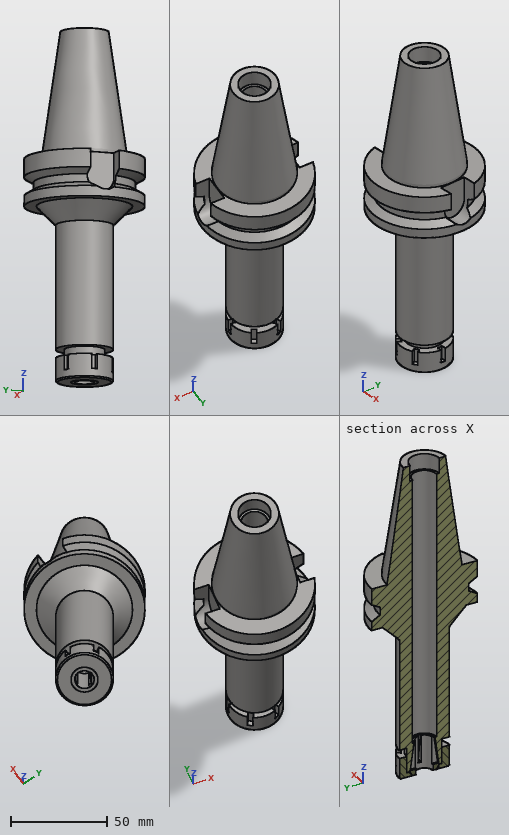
import cadquery as cq
import math

total_height = 185.4

taper_length = 65.5
gauge_diameter = 44.5
taper_tip_diameter = 25.4
gauge_z = total_height - taper_length

flange_diameter = 63.0
flange_top_drop = 1.9
flange_top_z = gauge_z - flange_top_drop
flange_thickness = 25.0
flange_bottom_z = flange_top_z - flange_thickness
groove_diameter = 53.2
groove_width = 10.0
groove_middle_drop = 16.5
groove_middle_z = gauge_z - groove_middle_drop
groove_flank_angle = 30.0

keyway_width = 16.0
keyway_floor_x = 22.5
keyway_depth = 23.0

body_diameter = 30.0
body_cone_height = 10.0
neck_diameter = 21.1

counterbore_diameter = 17.0
counterbore_depth = 9.0
bore_diameter = 14.0

nut_height = 12.6
neck_gap = 4.6
nut_chamfer_height = 0.7
nut_chamfer_width = 1.0
nut_slot_count = 6
nut_slot_width = 3.0
nut_slot_floor_z = 4.8
nut_slot_floor_radius = 12.2

collet_bore_diameter = 10.0
collet_back_diameter = 12.2
collet_shoulder_diameter = 17.0
collet_taper_angle = 8.0
collet_nose_angle = 30.0
collet_shoulder_z = 2.6
slit_count = 4
slit_width = 1.9
slit_floor_z = 3.7

body_bottom_z = nut_height + neck_gap
shoulder_radius = collet_shoulder_diameter / 2
back_radius = collet_back_diameter / 2
nose_radius = shoulder_radius - collet_shoulder_z * math.tan(math.radians(collet_nose_angle))
collet_taper_length = (shoulder_radius - back_radius) / math.tan(math.radians(collet_taper_angle))
collet_back_z = collet_shoulder_z + collet_taper_length


def revolve_profile(points):
    """Turn a closed (radius, z) outline around the Z axis."""
    return cq.Workplane("XZ").polyline(points).close().revolve(360, (0, 0), (0, 1))


def holder_blank():
    """Turned holder with the stepped bore and the collet socket."""
    flange_radius = flange_diameter / 2
    groove_radius = groove_diameter / 2
    body_radius = body_diameter / 2
    flank_height = (flange_radius - groove_radius) * math.tan(math.radians(groove_flank_angle))
    groove_top_z = groove_middle_z + groove_width / 2
    groove_bottom_z = groove_middle_z - groove_width / 2
    counterbore_z = total_height - counterbore_depth
    outside = [
        (taper_tip_diameter / 2, total_height),
        (gauge_diameter / 2, gauge_z),
        (gauge_diameter / 2, flange_top_z),
        (flange_radius, flange_top_z),
        (flange_radius, groove_top_z),
        (groove_radius, groove_top_z - flank_height),
        (groove_radius, groove_bottom_z + flank_height),
        (flange_radius, groove_bottom_z),
        (flange_radius, flange_bottom_z),
        (body_radius + body_cone_height, flange_bottom_z),
        (body_radius, flange_bottom_z - body_cone_height),
        (body_radius, body_bottom_z),
        (neck_diameter / 2, body_bottom_z),
        (neck_diameter / 2, collet_shoulder_z),
    ]
    inside = [
        (shoulder_radius, collet_shoulder_z),
        (back_radius, collet_back_z),
        (bore_diameter / 2, collet_back_z),
        (bore_diameter / 2, counterbore_z),
        (counterbore_diameter / 2, counterbore_z),
        (counterbore_diameter / 2, total_height),
    ]
    return revolve_profile(outside + inside)


def keyway_cutter(side):
    """Round-ended slot cutter, open upwards; side is +1 or -1 along X."""
    half_width = keyway_width / 2
    end_z = gauge_z - keyway_depth
    arc_middle_z = end_z + half_width
    return (
        cq.Workplane("YZ", origin=(side * keyway_floor_x, 0, 0))
        .moveTo(-half_width, gauge_z)
        .lineTo(-half_width, arc_middle_z)
        .threePointArc((0, end_z), (half_width, arc_middle_z))
        .lineTo(half_width, gauge_z)
        .close()
        .extrude(side * flange_diameter / 2)
    )


def make_holder():
    holder = holder_blank()
    for side in (-1, 1):
        holder = holder.cut(keyway_cutter(side))
    return holder


def make_nut():
    """Nut around the neck, with a coned front opening and spanner slots."""
    nut_radius = body_diameter / 2
    nut = revolve_profile([
        (nose_radius, 0),
        (nut_radius - nut_chamfer_width, 0),
        (nut_radius, nut_chamfer_height),
        (nut_radius, nut_height),
        (neck_diameter / 2, nut_height),
        (neck_diameter / 2, collet_shoulder_z),
        (shoulder_radius, collet_shoulder_z),
    ])
    slot = (
        cq.Workplane("XY")
        .box(nut_radius, nut_slot_width, nut_height, centered=(False, True, False))
        .translate((nut_slot_floor_radius, 0, nut_slot_floor_z))
    )
    for index in range(nut_slot_count):
        nut = nut.cut(slot.rotate((0, 0, 0), (0, 0, 1), index * 360 / nut_slot_count))
    return nut


def make_collet():
    """Double-tapered collet with slits running down from its back face."""
    bore_radius = collet_bore_diameter / 2
    collet = revolve_profile([
        (bore_radius, 0),
        (nose_radius, 0),
        (shoulder_radius, collet_shoulder_z),
        (back_radius, collet_back_z),
        (bore_radius, collet_back_z),
    ])
    slit = (
        cq.Workplane("XY")
        .box(collet_shoulder_diameter, slit_width, collet_back_z, centered=(False, True, False))
        .translate((0, 0, slit_floor_z))
    )
    for index in range(slit_count):
        collet = collet.cut(slit.rotate((0, 0, 0), (0, 0, 1), index * 360 / slit_count))
    return collet


holder = make_holder()
nut = make_nut()
collet = make_collet()

result = cq.Compound.makeCompound([holder.val(), nut.val(), collet.val()])